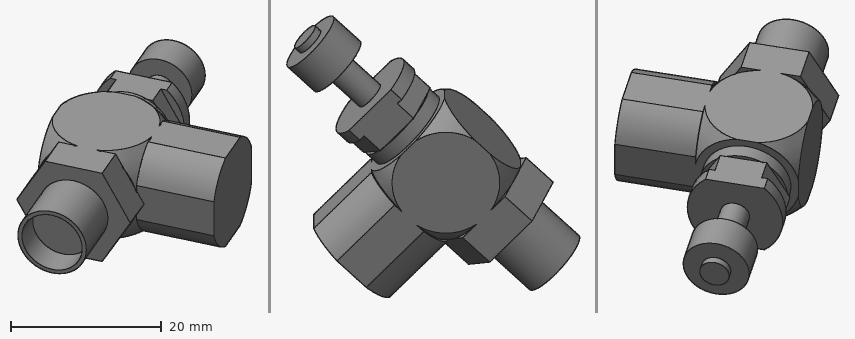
import cadquery as cq
import math

BODY_SIZE = 14.0
BODY_HALF = BODY_SIZE / 2
BODY_SPHERE_RADIUS = 10.0

BRANCH_DIAMETER = 15.0
BRANCH_END_X = 18.0

HEX_SIDES = 6
HEX_ACROSS_FLATS = BODY_SIZE
HEX_LENGTH = 5.0
SPIGOT_DIAMETER = 9.728
SPIGOT_LENGTH = 8.0
BORE_DIAMETER = 8.566
BORE_DEPTH = 4.0

COLLAR_DIAMETER = 12.0
COLLAR_LENGTH = 2.0
NUT_ACROSS_FLATS = 11.0
NUT_LENGTH = 3.0
CAP_LENGTH = 2.0
CAP_WIDTH = 13.0
CAP_FLAT_WIDTH = 8.0

STEM_DIAMETER = 4.0
STEM_END_Y = 26.0
KNOB_DIAMETER = 9.0
KNOB_LENGTH = 5.0
STEM_PROTRUSION = 1.0

HEX_END_Y = -BODY_HALF - HEX_LENGTH
SPIGOT_END_Y = HEX_END_Y - SPIGOT_LENGTH
NUT_START_Y = BODY_HALF + COLLAR_LENGTH
CAP_START_Y = NUT_START_Y + NUT_LENGTH
CAP_END_Y = CAP_START_Y + CAP_LENGTH
KNOB_END_Y = STEM_END_Y - STEM_PROTRUSION
KNOB_START_Y = KNOB_END_Y - KNOB_LENGTH


def section_at(y):
    """Sketch plane across the Y axis: local x is X, local y is Z, normal is -Y."""
    return cq.Workplane("XZ", origin=(0, y, 0))


def cylinder_along_y(diameter, y_start, y_end):
    return section_at(y_end).circle(diameter / 2).extrude(y_end - y_start)


def hexagon_along_y(across_flats, y_start, y_end):
    """Hexagonal prism with flats facing +Z and -Z."""
    across_corners = across_flats / math.cos(math.pi / HEX_SIDES)
    return section_at(y_end).polygon(HEX_SIDES, across_corners).extrude(y_end - y_start)


def make_body():
    cube = cq.Workplane("XY").box(BODY_SIZE, BODY_SIZE, BODY_SIZE)
    return cube.intersect(cq.Workplane("XY").sphere(BODY_SPHERE_RADIUS))


def make_branch():
    start = cq.Workplane("YZ", origin=(BODY_HALF, 0, 0))
    length = BRANCH_END_X - BODY_HALF
    barrel = start.circle(BRANCH_DIAMETER / 2).extrude(length)
    flats = start.rect(BODY_SIZE, BODY_SIZE).extrude(length)
    return barrel.intersect(flats)


def make_inlet():
    """Hexagon and hollow spigot."""
    hexagon = hexagon_along_y(HEX_ACROSS_FLATS, HEX_END_Y, -BODY_HALF)
    spigot = cylinder_along_y(SPIGOT_DIAMETER, SPIGOT_END_Y, HEX_END_Y)
    bore = cylinder_along_y(BORE_DIAMETER, SPIGOT_END_Y, SPIGOT_END_Y + BORE_DEPTH)
    return hexagon.union(spigot).cut(bore)


def make_nut_cap():
    """Plate with flats level with the lock nut and two sides bowed outward."""
    half_flat = CAP_FLAT_WIDTH / 2
    half_height = NUT_ACROSS_FLATS / 2
    half_width = CAP_WIDTH / 2
    return (
        section_at(CAP_END_Y)
        .moveTo(-half_flat, half_height)
        .lineTo(half_flat, half_height)
        .threePointArc((half_width, 0), (half_flat, -half_height))
        .lineTo(-half_flat, -half_height)
        .threePointArc((-half_width, 0), (-half_flat, half_height))
        .close()
        .extrude(CAP_LENGTH)
    )


def make_adjuster():
    """Collar, lock nut, nut cap, stem and knob."""
    collar = cylinder_along_y(COLLAR_DIAMETER, BODY_HALF, NUT_START_Y)
    nut = hexagon_along_y(NUT_ACROSS_FLATS, NUT_START_Y, CAP_START_Y)
    stem = cylinder_along_y(STEM_DIAMETER, CAP_END_Y, STEM_END_Y)
    knob = cylinder_along_y(KNOB_DIAMETER, KNOB_START_Y, KNOB_END_Y)
    return collar.union(nut).union(make_nut_cap()).union(stem).union(knob)


result = (
    make_body()
    .union(make_branch())
    .union(make_inlet())
    .union(make_adjuster())
    .clean()
)